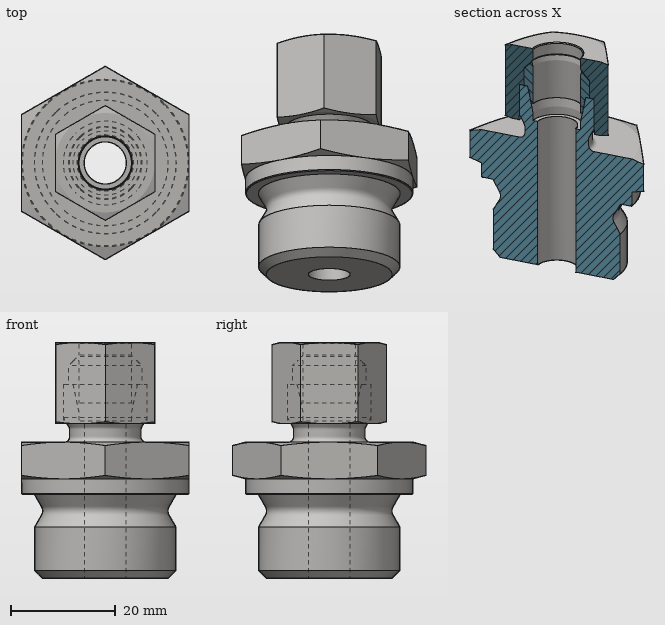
import cadquery as cq
import math

TOTAL_HEIGHT = 45.0
FLANGE_BOTTOM_Z = 16.0
HEX_BOTTOM_Z = 19.0
HEX_TOP_Z = 26.0
NUT_BOTTOM_Z = 29.5

BODY_HEX_FLATS = 32.0
NUT_HEX_FLATS = 19.0
HEX_HALF_SECTOR = 180 / 6
HEX_BEVEL_ANGLE = 15.0

STUD_RADIUS = 27.0 / 2
STUD_END_CHAMFER = 1.5
RELIEF_RADIUS = 24.0 / 2
RELIEF_ARC_RADIUS = 1.6
RELIEF_ANGLE = 30.0
RELIEF_CENTER_Z = 12.85
FLANGE_EDGE_CHAMFER = 0.2

NUT_THREAD_RADIUS = 16.0 / 2
NECK_RADIUS = 13.7 / 2
NECK_ARC_RADIUS = 1.0
NECK_TOP_Z = 28.4
STUD_TOP_Z = 37.0

BORE_RADIUS = 8.0 / 2
TUBE_RADIUS = 10.0 / 2
TUBE_STOP_Z = 30.0
SEAT_MOUTH_RADIUS = 12.3 / 2
SEAT_HALF_ANGLE = 12.0

RING_RADIUS = 14.0 / 2
RING_TIP_RADIUS = 5.4
RING_FLARE_BOTTOM_Z = 41.25
RING_FLARE_ANGLE = 15.0

NUT_BORE_CHAMFER = 0.2
NUT_BORE_DEPTH = 2.4

SIN_RELIEF = math.sin(math.radians(RELIEF_ANGLE))
COS_RELIEF = math.cos(math.radians(RELIEF_ANGLE))
TAN_RELIEF = math.tan(math.radians(RELIEF_ANGLE))
TAN_SEAT = math.tan(math.radians(SEAT_HALF_ANGLE))

SEAT_BOTTOM_Z = STUD_TOP_Z - (SEAT_MOUTH_RADIUS - TUBE_RADIUS) / TAN_SEAT
RING_TIP_Z = STUD_TOP_Z - (SEAT_MOUTH_RADIUS - RING_TIP_RADIUS) / TAN_SEAT

SHOULDER_TOP_Z = TOTAL_HEIGHT - NUT_BORE_DEPTH
SHOULDER_BOTTOM_Z = SHOULDER_TOP_Z - (RING_RADIUS - TUBE_RADIUS)


def revolve_outline(outline):
    """Revolve a closed (radius, z) outline drawn on the XZ plane about the Z axis."""
    return outline.close().revolve(360, (0, 0, 0), (0, 1, 0))


def beveled_hexagon(flats, bottom_z, top_z):
    """Hexagon with corners on the Y axis and both ends beveled down to its inscribed circle."""
    flat_radius = flats / 2
    corner_radius = flat_radius / math.cos(math.radians(HEX_HALF_SECTOR))
    bevel_drop = (corner_radius - flat_radius) * math.tan(math.radians(HEX_BEVEL_ANGLE))
    prism = (
        cq.Workplane("XY", origin=(0, 0, bottom_z))
        .polygon(6, 2 * corner_radius)
        .extrude(top_z - bottom_z)
        .rotate((0, 0, 0), (0, 0, 1), HEX_HALF_SECTOR)
    )
    envelope = revolve_outline(
        cq.Workplane("XZ")
        .moveTo(0, bottom_z)
        .lineTo(flat_radius, bottom_z)
        .lineTo(corner_radius, bottom_z + bevel_drop)
        .lineTo(corner_radius, top_z - bevel_drop)
        .lineTo(flat_radius, top_z)
        .lineTo(0, top_z)
    )
    return prism.intersect(envelope)


def screw_in_stud():
    """Lower stud with end chamfer, V-shaped thread relief and the round flange above it."""
    arc_half_height = RELIEF_ARC_RADIUS * SIN_RELIEF
    arc_end_radius = RELIEF_RADIUS + RELIEF_ARC_RADIUS * (1 - COS_RELIEF)
    arc_bottom_z = RELIEF_CENTER_Z - arc_half_height
    arc_top_z = RELIEF_CENTER_Z + arc_half_height
    stud_top_z = arc_bottom_z - (STUD_RADIUS - arc_end_radius) / TAN_RELIEF
    flank_top_radius = arc_end_radius + (FLANGE_BOTTOM_Z - arc_top_z) * TAN_RELIEF
    flange_radius = BODY_HEX_FLATS / 2
    return revolve_outline(
        cq.Workplane("XZ")
        .moveTo(0, 0)
        .lineTo(STUD_RADIUS - STUD_END_CHAMFER, 0)
        .lineTo(STUD_RADIUS, STUD_END_CHAMFER)
        .lineTo(STUD_RADIUS, stud_top_z)
        .lineTo(arc_end_radius, arc_bottom_z)
        .threePointArc((RELIEF_RADIUS, RELIEF_CENTER_Z), (arc_end_radius, arc_top_z))
        .lineTo(flank_top_radius, FLANGE_BOTTOM_Z)
        .lineTo(flange_radius - FLANGE_EDGE_CHAMFER, FLANGE_BOTTOM_Z)
        .lineTo(flange_radius, FLANGE_BOTTOM_Z + FLANGE_EDGE_CHAMFER)
        .lineTo(flange_radius, HEX_BOTTOM_Z)
        .lineTo(0, HEX_BOTTOM_Z)
    )


def nut_stud():
    """Upper stud that the nut screws onto, with a filleted neck above the hexagon."""
    arc_center_radius = NECK_RADIUS + NECK_ARC_RADIUS
    arc_center_z = HEX_TOP_Z + NECK_ARC_RADIUS
    fillet_middle = NECK_ARC_RADIUS * math.sqrt(0.5)
    half_angle = math.radians(RELIEF_ANGLE / 2)
    arc_top_radius = arc_center_radius - NECK_ARC_RADIUS * COS_RELIEF
    arc_top_z = NECK_TOP_Z + NECK_ARC_RADIUS * SIN_RELIEF
    flank_top_z = arc_top_z + (NUT_THREAD_RADIUS - arc_top_radius) / TAN_RELIEF
    return revolve_outline(
        cq.Workplane("XZ")
        .moveTo(0, HEX_TOP_Z)
        .lineTo(arc_center_radius, HEX_TOP_Z)
        .threePointArc(
            (arc_center_radius - fillet_middle, arc_center_z - fillet_middle),
            (NECK_RADIUS, arc_center_z),
        )
        .lineTo(NECK_RADIUS, NECK_TOP_Z)
        .threePointArc(
            (
                arc_center_radius - NECK_ARC_RADIUS * math.cos(half_angle),
                NECK_TOP_Z + NECK_ARC_RADIUS * math.sin(half_angle),
            ),
            (arc_top_radius, arc_top_z),
        )
        .lineTo(NUT_THREAD_RADIUS, flank_top_z)
        .lineTo(NUT_THREAD_RADIUS, STUD_TOP_Z)
        .lineTo(0, STUD_TOP_Z)
    )


def tube_passage():
    """Through bore, tube socket and conical ring seat, as one solid to cut from the body."""
    return revolve_outline(
        cq.Workplane("XZ")
        .moveTo(0, 0)
        .lineTo(BORE_RADIUS, 0)
        .lineTo(BORE_RADIUS, TUBE_STOP_Z)
        .lineTo(TUBE_RADIUS, TUBE_STOP_Z)
        .lineTo(TUBE_RADIUS, SEAT_BOTTOM_Z)
        .lineTo(SEAT_MOUTH_RADIUS, STUD_TOP_Z)
        .lineTo(0, STUD_TOP_Z)
    )


def make_fitting_body():
    hexagon = beveled_hexagon(BODY_HEX_FLATS, HEX_BOTTOM_Z, HEX_TOP_Z)
    return screw_in_stud().union(hexagon).union(nut_stud()).cut(tube_passage())


def make_cutting_ring():
    """Ring seated in the body cone, its bore flaring upwards to meet the 45-degree back in a sharp edge."""
    flare = math.tan(math.radians(RING_FLARE_ANGLE))
    edge_rise = (SHOULDER_TOP_Z - RING_FLARE_BOTTOM_Z) / (1 + flare)
    edge_radius = TUBE_RADIUS + edge_rise * flare
    edge_z = RING_FLARE_BOTTOM_Z + edge_rise
    return revolve_outline(
        cq.Workplane("XZ")
        .moveTo(TUBE_RADIUS, RING_TIP_Z)
        .lineTo(RING_TIP_RADIUS, RING_TIP_Z)
        .lineTo(SEAT_MOUTH_RADIUS, STUD_TOP_Z)
        .lineTo(RING_RADIUS, STUD_TOP_Z)
        .lineTo(RING_RADIUS, SHOULDER_BOTTOM_Z)
        .lineTo(edge_radius, edge_z)
        .lineTo(TUBE_RADIUS, RING_FLARE_BOTTOM_Z)
    )


def make_nut():
    cavity = revolve_outline(
        cq.Workplane("XZ")
        .moveTo(0, NUT_BOTTOM_Z)
        .lineTo(NUT_THREAD_RADIUS, NUT_BOTTOM_Z)
        .lineTo(NUT_THREAD_RADIUS, STUD_TOP_Z)
        .lineTo(RING_RADIUS, STUD_TOP_Z)
        .lineTo(RING_RADIUS, SHOULDER_BOTTOM_Z)
        .lineTo(TUBE_RADIUS, SHOULDER_TOP_Z)
        .lineTo(TUBE_RADIUS, TOTAL_HEIGHT - NUT_BORE_CHAMFER)
        .lineTo(TUBE_RADIUS + NUT_BORE_CHAMFER, TOTAL_HEIGHT)
        .lineTo(0, TOTAL_HEIGHT)
    )
    return beveled_hexagon(NUT_HEX_FLATS, NUT_BOTTOM_Z, TOTAL_HEIGHT).cut(cavity)


fitting_body = make_fitting_body()
cutting_ring = make_cutting_ring()
nut = make_nut()

result = cq.Compound.makeCompound([fitting_body.val(), cutting_ring.val(), nut.val()])